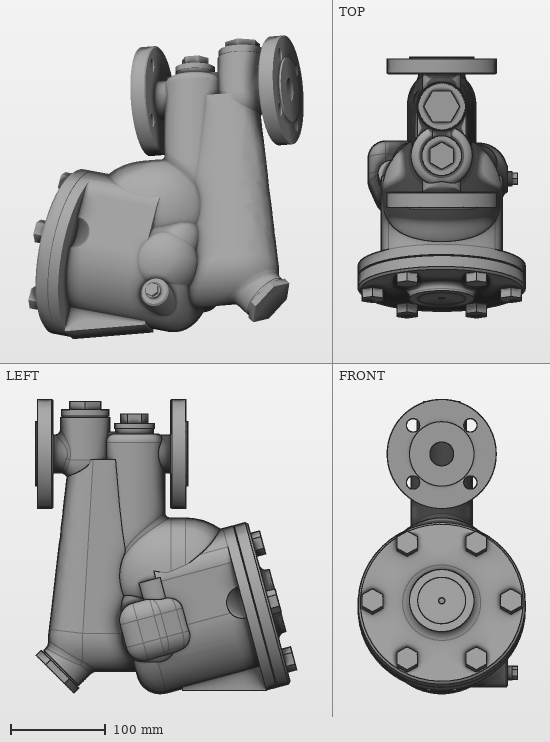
import cadquery as cq
import math


face_to_face = 160.0
flange_dia = 115.0
flange_thick = 16.0
raised_face_dia = 68.0
raised_face_height = 2.0
flange_chamfer = 1.2
bolt_hole_dia = 14.0
bolt_hole_spacing = 60.2
neck_dia = 40.0
neck_flare = 1.5
rear_neck_fillet = 5.3
port_bore_dia = 25.0
port_chamber_dia = 31.0
port_chamber_height = 37.2

rear_y = 28.0
rear_dia = 52.0
rear_top = 38.5
rear_bottom = -6.2
rear_seal_dia = 48.5
rear_collar_dia = 50.0
rear_collar_bottom = 39.7
rear_collar_top = 46.5
rear_hex_top = 55.2
rear_hex_corners = 38.0

front_y = -24.0
front_dia = 64.5
front_top = 21.0
front_bottom = -155.0
front_top_fillet = 9.3
ball_joint_fillet = 4.5
front_neck_dia = 40.0
front_collar_dia = 42.0
front_collar_bottom = 26.7
front_collar_top = 32.3
front_hex_top = 42.2
front_hex_corners = 28.8
web_width = 20.0
web_top = 23.3

leg_top_y = 19.5
leg_top_z = -6.0
leg_top_radius = 25.5
elbow_y = 30.7
elbow_z = -193.0
elbow_radius = 36.0
strainer_angle = 45.0
strainer_dia = 52.0
strainer_length = 31.5
strainer_z = -202.8
strainer_fillet = 9.3
strainer_seal_dia = 50.0
strainer_seal = 2.0
strainer_hex_corners = 56.0
strainer_hex_height = 7.5

ball_radius = 63.0
ball_rear_y = -62.3
ball_front_y = -77.5
ball_z = -130.3

tilt = 15.0
cover_y = -165.5
cover_z = -156.5
cover_dia = 176.0
cover_thick = 14.5
cover_chamfer = 2.5
gasket_thick = 1.0
gasket_inset = 1.2
body_flange_thick = 12.0
rim_back = cover_thick + body_flange_thick
body_half_width = 64.0
body_depth = 153.8
wall_depth = 108.5
body_end_fillet = 24.8
wall_top_fillet = 21.7
spotface_radius = 19.2
spotface_rise = 7.5
hub_dia = 68.0
hub_height = 9.3
hub_flare = 7.0
hub_recess_dia = 50.5
hub_recess_depth = 0.5
hub_center_dia = 6.5
hub_center_depth = 2.0
bolt_circle_radius = 73.0
bolt_count = 6
bolt_hex_corners = 25.0
bolt_head_height = 10.0
foot_width = 31.0
foot_z = -249.0
foot_rear_y = -74.5

cross_y = -45.5
cross_z = -189.8
cross_radius = 35.0
cross_reach = 69.5
cross_fillet = 31.0
bulge_y = -47.0
bulge_z = -182.5
bulge_length = 72.5
bulge_height = 62.0
bulge_reach = 77.5
bulge_fillet = 18.5
bulge_slope_start = -4.5
knob_x = -52.7
knob_y = -8.5
knob_dia = 28.5
knob_length = 49.5
drain_y = -48.0
drain_z = -230.5
drain_dia = 30.0
drain_chamfer = 2.0
drain_collar_dia = 15.0
drain_collar_end = 74.0
drain_hex_corners = 14.0
drain_hex_end = 80.0


tilt_angle = math.radians(tilt)
cover_plane = cq.Plane(
    origin=(0, cover_y, cover_z),
    xDir=(1, 0, 0),
    normal=(0, -math.cos(tilt_angle), math.sin(tilt_angle)),
)


def cylinder(dia, start, direction, length):
    return cq.Workplane(cq.Solid.makeCylinder(dia / 2, length, cq.Vector(*start), cq.Vector(*direction)))


def hexagon(corners, start, direction, length, x_dir):
    plane = cq.Plane(origin=start, xDir=x_dir, normal=direction)
    return cq.Workplane(plane).polygon(6, corners).extrude(length)


def port(side, neck_end_y):
    """Pipe flange with a flared neck that ends at neck_end_y; side is +1 at the rear, -1 at the front."""
    face_y = side * face_to_face / 2
    plane = cq.Plane(origin=(0, face_y, 0), xDir=(1, 0, 0), normal=(0, -side, 0))
    disc_back = raised_face_height + flange_thick
    body = cq.Workplane(plane).circle(raised_face_dia / 2).extrude(raised_face_height)
    disc = (
        cq.Workplane(plane)
        .workplane(offset=raised_face_height)
        .circle(flange_dia / 2)
        .extrude(flange_thick)
        .faces("<Y" if side > 0 else ">Y")
        .edges()
        .chamfer(flange_chamfer)
    )
    holes = (
        cq.Workplane(plane)
        .rect(bolt_hole_spacing, bolt_hole_spacing, forConstruction=True)
        .vertices()
        .circle(bolt_hole_dia / 2)
        .extrude(disc_back)
    )
    neck_radius = neck_dia / 2
    neck_length = abs(face_y - neck_end_y)
    neck = (
        cq.Workplane("XY")
        .moveTo(0, disc_back)
        .lineTo(neck_radius + neck_flare, disc_back)
        .radiusArc((neck_radius, disc_back + neck_flare), neck_flare)
        .lineTo(neck_radius, neck_length)
        .lineTo(0, neck_length)
        .close()
        .revolve(360, (0, 0, 0), (0, 1, 0))
    )
    if side > 0:
        neck = neck.mirror("XZ")
    return body.union(disc).cut(holes).union(neck.translate((0, face_y, 0)))


def port_bore(side, column_y):
    """Bore from the flange face that opens into a short upright chamber."""
    face_y = side * face_to_face / 2
    bore = cylinder(port_bore_dia, (0, face_y, 0), (0, -side, 0), abs(face_y - column_y))
    chamber_floor = (0, column_y, -port_chamber_height / 2)
    chamber = cylinder(port_chamber_dia, chamber_floor, (0, 0, 1), port_chamber_height)
    return bore.union(chamber)


def rear_column():
    """Upright column that carries the rear flange and the large plug."""
    up = (0, 0, 1)
    column = cylinder(rear_dia, (0, rear_y, rear_bottom), up, rear_top - rear_bottom)
    column = column.union(cq.Workplane("XY").sphere(rear_dia / 2).translate((0, rear_y, rear_bottom)))
    near_joint = (-rear_dia, rear_y + rear_neck_fillet, -rear_dia)
    far_joint = (rear_dia, rear_y + rear_dia / 2, rear_dia)
    joint = cq.selectors.BoxSelector(near_joint, far_joint)
    column = column.union(port(1, rear_y)).edges(joint).edges("%BSPLINE").fillet(rear_neck_fillet)
    seal = cylinder(rear_seal_dia, (0, rear_y, rear_top), up, rear_collar_bottom - rear_top)
    collar = cylinder(
        rear_collar_dia, (0, rear_y, rear_collar_bottom), up, rear_collar_top - rear_collar_bottom
    )
    head = hexagon(
        rear_hex_corners, (0, rear_y, rear_collar_top), up, rear_hex_top - rear_collar_top, (1, 0, 0)
    )
    return column.union(seal).union(collar).union(head)


def front_column_and_ball():
    """Upright column with the small plug, blended into the ball at its foot."""
    up = (0, 0, 1)
    column = cylinder(front_dia, (0, front_y, front_bottom), up, front_top - front_bottom)
    column = column.faces(">Z").edges().fillet(front_top_fillet)
    neck = cylinder(front_neck_dia, (0, front_y, front_top), up, front_collar_bottom - front_top)
    collar = cylinder(
        front_collar_dia, (0, front_y, front_collar_bottom), up, front_collar_top - front_collar_bottom
    )
    head = hexagon(
        front_hex_corners, (0, front_y, front_collar_top), up, front_hex_top - front_collar_top, (0, 1, 0)
    )
    column = column.union(neck).union(collar).union(head)
    above_ball = (-front_dia / 2, front_y - front_dia, ball_z)
    below_plug = (front_dia / 2, front_y + front_dia, front_top - 2 * front_top_fillet)
    joint = cq.selectors.BoxSelector(above_ball, below_plug)
    return column.union(ball()).edges(joint).edges("%BSPLINE").fillet(ball_joint_fillet)


def column_web():
    """Narrow wall that joins the two columns."""
    web = cq.Workplane("XY").box(web_width, rear_y - front_y, web_top, centered=(True, False, False))
    return web.translate((0, front_y, 0))


def leg():
    """Leg with flat sides and a round back that widens downwards."""

    def section(workplane, center_y, radius):
        return (
            workplane.moveTo(-radius, front_y)
            .lineTo(-radius, center_y)
            .threePointArc((0, center_y + radius), (radius, center_y))
            .lineTo(radius, front_y)
            .close()
        )

    top = section(cq.Workplane("XY", origin=(0, 0, leg_top_z)), leg_top_y, leg_top_radius)
    bottom = top.workplane(offset=elbow_z - leg_top_z)
    return section(bottom, elbow_y, elbow_radius).loft(ruled=True)


def elbow():
    """Bottom duct with a rounded corner and a plugged strainer boss pointing down and back."""
    duct = cylinder(2 * elbow_radius, (0, elbow_y, elbow_z), (0, -1, 0), elbow_y - cross_y)
    corner = cq.Workplane("XY").sphere(elbow_radius).translate((0, elbow_y, elbow_z))
    angle = math.radians(strainer_angle)
    direction = (0, math.cos(angle), -math.sin(angle))

    def along(distance):
        return (0, elbow_y + distance * direction[1], strainer_z + distance * direction[2])

    boss = cylinder(strainer_dia, along(0), direction, strainer_length)
    body = duct.union(corner).union(boss)
    near_joint = (-elbow_radius, 0, elbow_z - elbow_radius)
    far_joint = (elbow_radius, elbow_y, elbow_z - elbow_radius / 2)
    joint = cq.selectors.BoxSelector(near_joint, far_joint)
    body = body.edges(joint).edges("%BSPLINE").fillet(strainer_fillet)
    seal = cylinder(strainer_seal_dia, along(strainer_length), direction, strainer_seal)
    head = hexagon(
        strainer_hex_corners,
        along(strainer_length + strainer_seal),
        direction,
        strainer_hex_height,
        (0, math.sin(angle), math.cos(angle)),
    )
    return body.union(seal).union(head)


def ball():
    """Two half balls joined by a short cylinder along Y."""
    return (
        cq.Workplane("YZ")
        .moveTo(ball_rear_y + ball_radius, 0)
        .radiusArc((ball_rear_y, -ball_radius), ball_radius)
        .lineTo(ball_front_y, -ball_radius)
        .radiusArc((ball_front_y - ball_radius, 0), ball_radius)
        .close()
        .revolve(360, (0, 0, 0), (1, 0, 0))
        .translate((0, 0, ball_z))
    )


def tilted(offset=0.0):
    """Workplane square to the cover axis, with offset measured outwards from the cover face."""
    return cq.Workplane(cover_plane).workplane(offset=offset)


def tilted_body():
    """Barrel, round below and flat at the sides, roofed by the cylinder of the cover rim."""
    barrel = tilted(-rim_back).circle(body_half_width).extrude(rim_back - body_depth)
    barrel = barrel.faces(cq.selectors.DirectionMinMaxSelector(cover_plane.zDir, False))
    barrel = barrel.edges().fillet(body_end_fillet)
    rim_radius = cover_dia / 2
    corner_height = math.sqrt(rim_radius**2 - body_half_width**2)
    walls = (
        tilted(-rim_back)
        .moveTo(-body_half_width, 0)
        .lineTo(-body_half_width, corner_height)
        .threePointArc((0, rim_radius), (body_half_width, corner_height))
        .lineTo(body_half_width, 0)
        .close()
        .extrude(rim_back - wall_depth)
    )
    roof_edges = cq.selectors.ParallelDirSelector(cover_plane.zDir)
    upper = cq.selectors.DirectionMinMaxSelector(cover_plane.yDir, True)
    walls = walls.edges(roof_edges).edges(upper).fillet(wall_top_fillet)
    body = barrel.union(walls)
    for side in (-1, 1):
        center = cover_plane.toWorldCoords((side * bolt_circle_radius, spotface_rise, -rim_back))
        body = body.cut(cq.Workplane("XY").sphere(spotface_radius).translate(center))
    return body


def cover():
    """Body flange, gasket, cover plate with its hub, and the ring of bolt heads."""
    rim = tilted(-cover_thick - gasket_thick).circle(cover_dia / 2).extrude(gasket_thick - body_flange_thick)
    gasket = tilted(-cover_thick).circle(cover_dia / 2 - gasket_inset).extrude(-gasket_thick)
    plate = tilted(-cover_thick).circle(cover_dia / 2).extrude(cover_thick)
    outer = cq.selectors.DirectionMinMaxSelector(cover_plane.zDir, True)
    plate = plate.faces(outer).edges().chamfer(cover_chamfer)
    hub_radius = hub_dia / 2
    hub = (
        cq.Workplane(cq.Plane(origin=cover_plane.origin, xDir=(1, 0, 0), normal=-cover_plane.yDir))
        .lineTo(hub_radius + hub_flare, 0)
        .radiusArc((hub_radius, hub_flare), hub_flare)
        .lineTo(hub_radius, hub_height)
        .lineTo(0, hub_height)
        .close()
        .revolve(360, (0, 0, 0), (0, 1, 0))
    )
    hub_recess = tilted(hub_height).circle(hub_recess_dia / 2).extrude(-hub_recess_depth)
    center_mark = tilted(hub_height).circle(hub_center_dia / 2).extrude(-hub_center_depth)
    upright = cq.Plane(origin=cover_plane.origin, xDir=cover_plane.yDir, normal=cover_plane.zDir)
    heads = (
        cq.Workplane(upright)
        .polarArray(bolt_circle_radius, 180 / bolt_count, 360, bolt_count, rotate=False)
        .polygon(6, bolt_hex_corners)
        .extrude(bolt_head_height)
    )
    return rim.union(gasket).union(plate).union(hub).union(heads).cut(hub_recess).cut(center_mark)


def foot():
    """Level foot between the barrel and the back of the flange."""
    back_y = cover_y + rim_back / math.cos(tilt_angle)
    toe_y = back_y - (cover_z - foot_z) * math.tan(tilt_angle)
    return (
        cq.Workplane("YZ", origin=(-foot_width / 2, 0, 0))
        .moveTo(foot_rear_y, foot_z)
        .lineTo(toe_y, foot_z)
        .lineTo(back_y, cover_z)
        .lineTo(foot_rear_y, cover_z)
        .close()
        .extrude(foot_width)
    )


def side_bosses():
    """Round-ended cross boss, the rounded bulge on the -X side and the knob above it."""
    cross = cylinder(2 * cross_radius, (-cross_reach, cross_y, cross_z), (1, 0, 0), 2 * cross_reach)
    cross = cross.faces("<X or >X").edges().fillet(cross_fillet)
    rear = bulge_length / 2
    bulge = (
        cq.Workplane("XY", origin=(0, 0, -bulge_height / 2))
        .moveTo(0, rear)
        .lineTo(-bulge_reach, rear)
        .lineTo(-bulge_reach, bulge_slope_start)
        .lineTo(-body_half_width, -rear)
        .lineTo(0, -rear)
        .close()
        .extrude(bulge_height)
    )
    bulge = bulge.edges("not >X").fillet(bulge_fillet)
    knob = cylinder(knob_dia, (knob_x, knob_y, 0), (0, 0, 1), knob_length)
    bulge = bulge.union(knob).rotate((0, 0, 0), (1, 0, 0), -tilt).translate((0, bulge_y, bulge_z))
    return cross.union(bulge)


def drain():
    """Drain boss on the +X side with its plug."""
    right = (1, 0, 0)
    boss = cylinder(drain_dia, (0, drain_y, drain_z), right, cross_reach)
    boss = boss.faces(">X").edges().chamfer(drain_chamfer)
    collar = cylinder(
        drain_collar_dia, (cross_reach, drain_y, drain_z), right, drain_collar_end - cross_reach
    )
    head = hexagon(
        drain_hex_corners,
        (drain_collar_end, drain_y, drain_z),
        right,
        drain_hex_end - drain_collar_end,
        (0, 0, 1),
    )
    return boss.union(collar).union(head)


result = tilted_body().union(front_column_and_ball())
for piece in (
    cover(),
    foot(),
    side_bosses(),
    leg(),
    elbow(),
    rear_column(),
    column_web(),
    drain(),
    port(-1, front_y),
):
    result = result.union(piece)
result = result.cut(port_bore(1, rear_y)).cut(port_bore(-1, front_y))